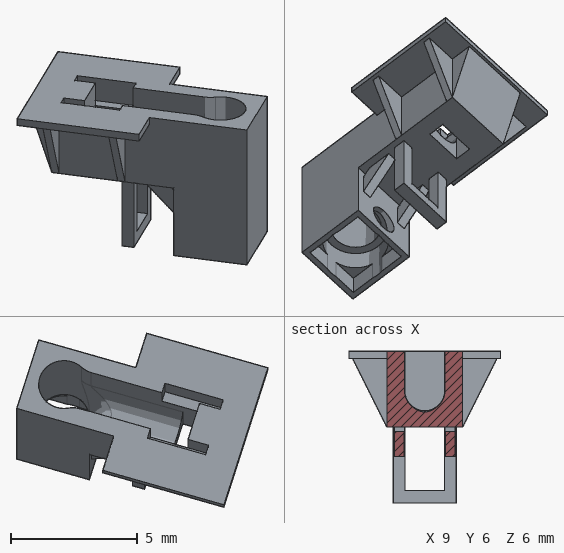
import cadquery as cq

flange_length = 5.0
flange_width = 6.0
flange_thickness = 0.3

total_length = 9.0
total_height = 6.0
body_width = 3.0
body_start = 1.0
body_bottom = 3.0
block_start = 6.0

rib_thickness = 0.3
rib_starts = (body_start, 3.7)

pocket_start = body_start + rib_thickness
pocket_end = rib_starts[1]
pocket_width = 2.4
pocket_floor = 5.0

channel_radius = 0.787
channel_axis_height = 4.43
tongue_end = 2.15
channel_start = 2.84

bore_x = 7.5
bore_radius = 1.0
transition_radius = 0.93
selection_margin = 0.1

chamber_radius = 1.3
chamber_top = 2.0
mouth_side = 2.55
mouth_top = 1.0

cross_hole_radius = 0.6
cross_hole_height = mouth_top

frame_start = 3.8
frame_thickness = 0.5
frame_width = 2.5
window_width = 1.54
window_bottom = 0.5

strut_inner_y = 0.8
strut_outer_y = 1.2
strut_outer_reach = 1.34
strut_inner_reach = 0.33


def box(x_range, y_range, z_range):
    """Box spanning the given ranges."""
    lengths = [high - low for low, high in (x_range, y_range, z_range)]
    corner = (x_range[0], y_range[0], z_range[0])
    return cq.Workplane("XY").box(*lengths, centered=False).translate(corner)


def centered_box(x_range, width, z_range):
    """Box of the given width, symmetric about the XZ plane."""
    return box(x_range, (-width / 2, width / 2), z_range)


def vertical_cylinder(radius, bottom, top):
    """Cylinder on the bore axis."""
    return cq.Workplane("XY", origin=(bore_x, 0, bottom)).circle(radius).extrude(top - bottom)


def make_body():
    """Flange, upper body with its sloping nose, and lower block."""
    flange = centered_box(
        (0, flange_length), flange_width, (total_height - flange_thickness, total_height)
    )
    upper = (
        cq.Workplane("XZ")
        .polyline([
            (0, total_height),
            (body_start, body_bottom),
            (total_length, body_bottom),
            (total_length, total_height),
        ])
        .close()
        .extrude(body_width / 2, both=True)
    )
    block = centered_box((block_start, total_length), body_width, (0, body_bottom))
    return flange.union(upper).union(block)


def make_rib(start):
    """Pair of triangular ribs, one on each side of the body, tapering down from the flange edges."""
    return (
        cq.Workplane("YZ", origin=(start, 0, 0))
        .polyline([
            (-flange_width / 2, total_height),
            (-body_width / 2, body_bottom),
            (body_width / 2, body_bottom),
            (flange_width / 2, total_height),
        ])
        .close()
        .extrude(rib_thickness)
    )


def make_frame():
    """Thin frame hanging below the body, with a window open up to the body."""
    frame_x = (frame_start, frame_start + frame_thickness)
    frame = centered_box(frame_x, frame_width, (0, body_bottom))
    window = centered_box(frame_x, window_width, (window_bottom, body_bottom))
    return frame.cut(window)


def make_strut(y_start):
    """45 degree strut from the underside of the body to the -X face of the block."""
    width = strut_outer_y - strut_inner_y
    return (
        cq.Workplane("XZ", origin=(0, y_start + width, 0))
        .polyline([
            (block_start - strut_outer_reach, body_bottom),
            (block_start - strut_inner_reach, body_bottom),
            (block_start, body_bottom - strut_inner_reach),
            (block_start, body_bottom - strut_outer_reach),
        ])
        .close()
        .extrude(width)
    )


def make_channel_and_bore():
    """Cavity of the round-bottomed channel blending into the vertical bore."""
    length = bore_x - channel_start
    channel = (
        cq.Workplane("YZ", origin=(channel_start, 0, 0))
        .moveTo(-channel_radius, total_height)
        .lineTo(-channel_radius, channel_axis_height)
        .threePointArc(
            (0, channel_axis_height - channel_radius), (channel_radius, channel_axis_height)
        )
        .lineTo(channel_radius, total_height)
        .close()
        .extrude(length)
    )
    cavity = vertical_cylinder(bore_radius, 0, total_height).union(channel)
    junction = cq.selectors.BoxSelector(
        (bore_x - bore_radius - selection_margin, -bore_radius, 0),
        (bore_x - selection_margin, bore_radius, total_height - selection_margin),
    )
    return cavity.edges(junction).fillet(transition_radius)


def make_pocket():
    """Ledges beside the tongue and the opening between tongue and channel."""
    ledges = centered_box((pocket_start, pocket_end), pocket_width, (pocket_floor, total_height))
    tongue = centered_box(
        (pocket_start, tongue_end), 2 * channel_radius, (pocket_floor, total_height)
    )
    opening = centered_box(
        (tongue_end, channel_start), 2 * channel_radius, (body_bottom, total_height)
    )
    return ledges.cut(tongue).union(opening)


def make_socket():
    """Round chamber, its square mouth and the cross hole from the -X face of the block."""
    chamber = vertical_cylinder(chamber_radius, 0, chamber_top)
    half_side = mouth_side / 2
    mouth = centered_box((bore_x - half_side, bore_x + half_side), mouth_side, (0, mouth_top))
    cross_hole = (
        cq.Workplane("YZ", origin=(block_start, 0, cross_hole_height))
        .circle(cross_hole_radius)
        .extrude(bore_x - block_start)
    )
    return chamber.union(mouth).union(cross_hole)


result = make_body()
for rib_start in rib_starts:
    result = result.union(make_rib(rib_start))
result = result.union(make_frame())
for strut_y in (-strut_outer_y, strut_inner_y):
    result = result.union(make_strut(strut_y))
for cavity in (make_channel_and_bore(), make_pocket(), make_socket()):
    result = result.cut(cavity)